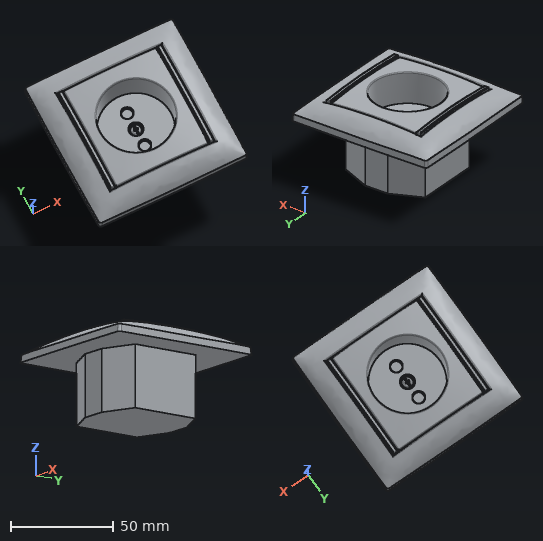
import cadquery as cq
import math

frame_half = 41.0
side_bow = 0.3
frame_corner_radius = 1.3
side_draft = 4.5
dome_half = 40.7
dome_base = 3.8
dome_rise = 8.7
dome_blend = 0.4
dome_power = 9
dome_samples = 16
overall_top = 11.19

opening_half = 28.9
opening_round = 0.55
gap_floor = 7.0

insert_half_x = 25.4
insert_half_y = 28.4
insert_crown = 11.85
insert_crown_radius = 280.0
insert_edge_round = 0.5
rail_inner_x = 25.85
rail_outer_x = 28.4
rail_top = overall_top
rail_half_length = 28.3
rail_end_top = 10.1
rail_round = 0.4

socket_radius = 19.6
socket_floor_radius = 19.1
socket_floor = -6.2
socket_rim_round = 0.5

pin_spacing = 19.0
pin_radius = 2.95
pin_depth = 2.0
pin_chamfer = 0.3
screw_seat_radius = 3.75
screw_seat_depth = 1.5
screw_seat_chamfer = 0.5
screw_head_radius = 2.9
screw_head_height = 1.4
screw_head_round = 0.7
slot_width = 0.75
slot_depth = 0.9
cross_length = 2.2

housing_depth = 32.0
housing_half_x = 24.0
housing_half_y = 26.0
housing_flat_x = 6.75
housing_flat_y = 18.4


def dome_profile(u):
    """Relative dome height at distance u from the centre line: 1 at the centre, 0 at the rim."""
    t = abs(u) / dome_half
    return 1 - dome_blend * t**2 - (1 - dome_blend) * t**dome_power


def dome_point(x, y):
    """Point of the domed surface above (x, y)."""
    return cq.Vector(x, y, dome_base + dome_rise * dome_profile(x) * dome_profile(y))


def make_dome():
    """Solid below the domed surface."""
    step = 2 * frame_half / dome_samples
    stations = [-frame_half + i * step for i in range(dome_samples + 1)]
    grid = [[dome_point(x, y) for y in stations] for x in stations]
    surface = cq.Face.makeSplineApprox(grid, tol=0.001, minDeg=8, maxDeg=8)
    drop = cq.Vector(0, 0, -(dome_base + dome_rise))
    return cq.Workplane(obj=cq.Solid.extrudeLinear(surface, drop))


def make_blank():
    """Drafted block with gently bowed sides and rounded corners."""
    corner = frame_half - side_bow
    outline = (
        cq.Workplane("XY")
        .moveTo(-corner, -corner)
        .threePointArc((0, -frame_half), (corner, -corner))
        .threePointArc((frame_half, 0), (corner, corner))
        .threePointArc((0, frame_half), (-corner, corner))
        .threePointArc((-frame_half, 0), (-corner, -corner))
        .close()
    )
    height = dome_base + dome_rise
    block = outline.extrude(height, taper=side_draft)
    middle = cq.selectors.BoxSelector(
        (-frame_half, -frame_half, height / 4), (frame_half, frame_half, 3 * height / 4)
    )
    return block.edges(middle).fillet(frame_corner_radius)


def make_frame():
    """Domed frame with a square opening whose upper edges are rounded."""
    frame = make_blank().intersect(make_dome())
    opening = (
        cq.Workplane("XY", origin=(0, 0, gap_floor))
        .rect(2 * opening_half, 2 * opening_half)
        .extrude(dome_base + dome_rise)
    )
    frame = frame.cut(opening)
    reach = (opening_half + dome_half) / 2
    rim_base = (gap_floor + rail_end_top) / 2
    rim = cq.selectors.BoxSelector((-reach, -reach, rim_base), (reach, reach, overall_top))
    return frame.edges(rim).edges("not(|Z)").fillet(opening_round)


def make_insert():
    """Insert with a spherical crown and rounded edges."""
    height = insert_crown - gap_floor
    block = (
        cq.Workplane("XY", origin=(0, 0, gap_floor))
        .rect(2 * insert_half_x, 2 * insert_half_y)
        .extrude(height)
    )
    crown = cq.Workplane("XY", origin=(0, 0, insert_crown - insert_crown_radius))
    crown = crown.sphere(insert_crown_radius)
    return block.intersect(crown).faces(">Z").edges().fillet(insert_edge_round)


def make_rail(side):
    """Arched rail along Y; side is +1 or -1."""
    rail = (
        cq.Workplane("YZ", origin=(side * rail_inner_x, 0, 0))
        .moveTo(-rail_half_length, gap_floor)
        .lineTo(-rail_half_length, rail_end_top)
        .threePointArc((0, rail_top), (rail_half_length, rail_end_top))
        .lineTo(rail_half_length, gap_floor)
        .close()
        .extrude(side * (rail_outer_x - rail_inner_x))
    )
    return rail.faces(">Z").edges().fillet(rail_round)


def make_housing():
    """Eight-sided housing, extended up to the gap floor inside the frame."""
    corners = [
        (housing_half_x, -housing_flat_y),
        (housing_half_x, housing_flat_y),
        (housing_flat_x, housing_half_y),
        (-housing_flat_x, housing_half_y),
        (-housing_half_x, housing_flat_y),
        (-housing_half_x, -housing_flat_y),
        (-housing_flat_x, -housing_half_y),
        (housing_flat_x, -housing_half_y),
    ]
    return (
        cq.Workplane("XY", origin=(0, 0, -housing_depth))
        .polyline(corners)
        .close()
        .extrude(housing_depth + gap_floor)
    )


def cut_socket(body):
    """Slightly tapered plug recess with a rounded rim."""
    depth = insert_crown - socket_floor
    draft = math.degrees(math.atan2(socket_radius - socket_floor_radius, depth))
    recess = (
        cq.Workplane("XY", origin=(0, 0, socket_floor))
        .circle(socket_floor_radius)
        .extrude(depth, taper=-draft)
    )
    body = body.cut(recess)
    reach = insert_half_x
    rim = cq.selectors.BoxSelector((-reach, -reach, gap_floor), (reach, reach, insert_crown), True)
    return body.edges(rim).fillet(socket_rim_round)


def chamfered_pocket(radius, depth, chamfer):
    """Cutter for a round pocket in the recess floor with a chamfered mouth."""
    pocket = cq.Workplane("XY", origin=(0, 0, socket_floor - depth)).circle(radius).extrude(depth)
    mouth = (
        cq.Workplane("XY", origin=(0, 0, socket_floor - chamfer))
        .circle(radius)
        .extrude(chamfer, taper=-45)
    )
    return pocket.union(mouth)


def cut_pin_holes(body):
    """Two shallow pin holes spaced along Y."""
    hole = chamfered_pocket(pin_radius, pin_depth, pin_chamfer)
    for side in (-1, 1):
        body = body.cut(hole.translate((0, side * pin_spacing / 2, 0)))
    return body


def add_screw(body):
    """Centre screw with a long slot and a short cross slot, in its own seat."""
    seat = chamfered_pocket(screw_seat_radius - screw_seat_chamfer, screw_seat_depth, screw_seat_chamfer)
    seat_floor = socket_floor - screw_seat_depth
    head = (
        cq.Workplane("XY", origin=(0, 0, seat_floor))
        .circle(screw_head_radius)
        .extrude(screw_head_height)
        .faces(">Z")
        .edges()
        .fillet(screw_head_round)
    )
    slot_floor = seat_floor + screw_head_height - slot_depth
    slots = cq.Workplane("XY", origin=(0, 0, slot_floor)).rect(slot_width, 2 * screw_head_radius)
    slots = slots.extrude(slot_depth)
    cross = cq.Workplane("XY", origin=(0, 0, slot_floor)).rect(cross_length, slot_width)
    slots = slots.union(cross.extrude(slot_depth))
    return body.cut(seat).union(head.cut(slots))


body = make_frame().union(make_housing()).union(make_insert())
for side in (-1, 1):
    body = body.union(make_rail(side))
body = cut_socket(body)
body = cut_pin_holes(body)
result = add_screw(body)